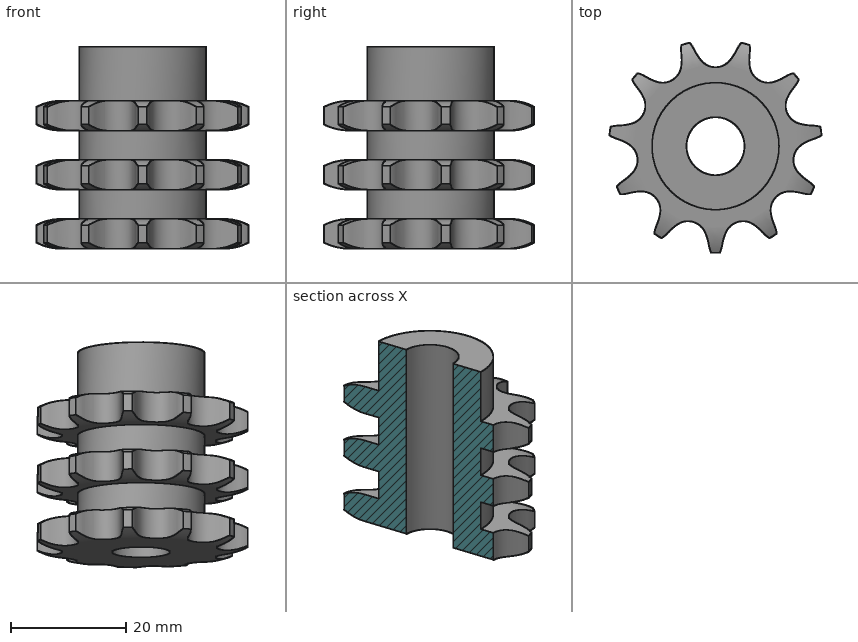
import cadquery as cq
import math


tooth_count = 11
chain_pitch = 9.53
roller_diameter = 6.35
row_count = 3
row_spacing = 10.23
tooth_width = 5.2
tip_diameter = 37.0
seat_clearance = 0.05

side_start_radius = 14.1
side_round_radius = 9.53

total_height = 35.0
hub_diameter = 22.0
bore_diameter = 10.0

pitch_radius = chain_pitch / (2 * math.sin(math.pi / tooth_count))
tip_radius = tip_diameter / 2
seat_radius = roller_diameter / 2 + seat_clearance
seat_angle = math.radians(35 + 60 / tooth_count)
working_angle = math.radians(18 - 56 / tooth_count)
working_offset = 0.8 * roller_diameter
topping_offset = 1.4 * roller_diameter
half_tooth_angle = math.pi / tooth_count


def polar(center, radius, angle):
    """Point at a distance and angle from a center."""
    return (center[0] + radius * math.cos(angle), center[1] + radius * math.sin(angle))


def turned(point, angle):
    """Point turned about the sprocket axis."""
    x, y = point
    return (x * math.cos(angle) - y * math.sin(angle), x * math.sin(angle) + y * math.cos(angle))


def mirrored(point):
    """Point mirrored across the YZ plane."""
    return (-point[0], point[1])


def right_flank():
    """Points of the flank on the +X side of the gap on +Y, from seat end to tip.

    They come in order: seat end, working arc middle, working arc end,
    topping arc start, topping arc middle, tip corner.
    """
    roller_center = (0, pitch_radius)
    seat_end = polar(roller_center, seat_radius, -seat_angle)

    working_center = polar(roller_center, working_offset, math.pi - seat_angle)
    working_radius = working_offset + seat_radius
    working_middle = polar(working_center, working_radius, -seat_angle + working_angle / 2)
    line_angle = -seat_angle + working_angle
    working_end = polar(working_center, working_radius, line_angle)

    topping_center = polar(roller_center, topping_offset, -half_tooth_angle)
    center_dx = topping_center[0] - working_end[0]
    center_dy = topping_center[1] - working_end[1]
    topping_radius = center_dx * math.cos(line_angle) + center_dy * math.sin(line_angle)
    topping_start = polar(topping_center, topping_radius, line_angle + math.pi)

    center_distance = math.hypot(*topping_center)
    side_squares = center_distance**2 + tip_radius**2 - topping_radius**2
    corner_cosine = side_squares / (2 * center_distance * tip_radius)
    corner_angle = math.atan2(topping_center[1], topping_center[0]) + math.acos(corner_cosine)
    tip_corner = polar((0, 0), tip_radius, corner_angle)
    end_angle = math.atan2(tip_corner[1] - topping_center[1], tip_corner[0] - topping_center[0])
    topping_middle = polar(topping_center, topping_radius, (line_angle + math.pi + end_angle) / 2)

    return [seat_end, working_middle, working_end, topping_start, topping_middle, tip_corner]


def toothed_outline():
    """Closed outline of one row of teeth, with a gap centered on +Y."""
    rising = right_flank()
    falling = [mirrored(point) for point in reversed(rising)]
    root = (0, pitch_radius - seat_radius)
    tip_middle = turned((0, tip_radius), -half_tooth_angle)

    outline = cq.Workplane("XY").moveTo(*falling[0])
    for gap in range(tooth_count):
        turn = -gap * 2 * half_tooth_angle
        fall = [turned(point, turn) for point in falling]
        rise = [turned(point, turn) for point in rising]
        next_tip = turned(falling[0], turn - 2 * half_tooth_angle)
        outline = (
            outline.threePointArc(fall[1], fall[2])
            .lineTo(*fall[3])
            .threePointArc(fall[4], fall[5])
            .threePointArc(turned(root, turn), rise[0])
            .threePointArc(rise[1], rise[2])
            .lineTo(*rise[3])
            .threePointArc(rise[4], rise[5])
            .threePointArc(turned(tip_middle, turn), next_tip)
        )
    return outline.close()


def side_drop(radius):
    """How far the rounded tooth side falls below the flat face at a radius."""
    return side_round_radius - math.sqrt(side_round_radius**2 - (radius - side_start_radius) ** 2)


def rounded_disc():
    """Disc that gives the teeth their rounded sides, standing on the XY plane."""
    middle_radius = (side_start_radius + tip_radius) / 2
    middle_drop = side_drop(middle_radius)
    tip_drop = side_drop(tip_radius)
    return (
        cq.Workplane("XZ")
        .lineTo(side_start_radius, 0)
        .threePointArc((middle_radius, middle_drop), (tip_radius, tip_drop))
        .lineTo(tip_radius, tooth_width - tip_drop)
        .threePointArc((middle_radius, tooth_width - middle_drop), (side_start_radius, tooth_width))
        .lineTo(0, tooth_width)
        .close()
        .revolve(360, (0, 0, 0), (0, 1, 0))
    )


tooth_row = toothed_outline().extrude(tooth_width).intersect(rounded_disc())

sprocket = cq.Workplane("XY").circle(hub_diameter / 2).extrude(total_height)
for row in range(row_count):
    sprocket = sprocket.union(tooth_row.translate((0, 0, row * row_spacing)))

bore = cq.Workplane("XY").circle(bore_diameter / 2).extrude(total_height)
result = sprocket.cut(bore)